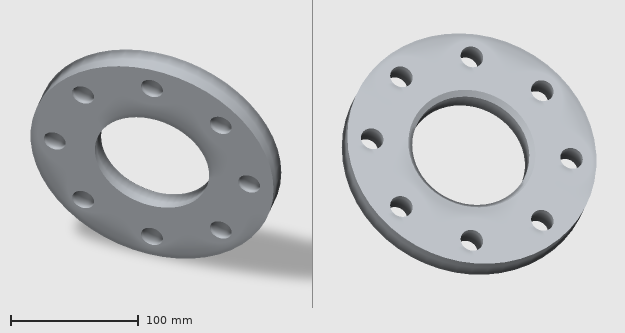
import cadquery as cq

outer_diameter = 200.0
bore_diameter = 94.0
thickness = 20.0

bore_chamfer = 4.0

bolt_circle_diameter = 160.0
bolt_hole_diameter = 18.0
bolt_hole_count = 8


def make_disc():
    """Plain disc from the XZ plane toward -Y."""
    return cq.Workplane("XZ").circle(outer_diameter / 2).extrude(thickness)


def make_bore():
    """Through bore, widened by a chamfer where it meets the +Y face."""
    bore_radius = bore_diameter / 2
    cylinder = cq.Workplane("XZ").circle(bore_radius).extrude(thickness)
    chamfer_cone = cq.Workplane(
        cq.Solid.makeCone(
            bore_radius + bore_chamfer,
            bore_radius,
            bore_chamfer,
            pnt=cq.Vector(0, 0, 0),
            dir=cq.Vector(0, -1, 0),
        )
    )
    return cylinder.union(chamfer_cone)


def make_bolt_holes():
    """Cylinders that cut the bolt holes through the full thickness."""
    return (
        cq.Workplane("XZ")
        .polarArray(bolt_circle_diameter / 2, 0, 360, bolt_hole_count)
        .circle(bolt_hole_diameter / 2)
        .extrude(thickness)
    )


result = make_disc().cut(make_bore()).cut(make_bolt_holes())